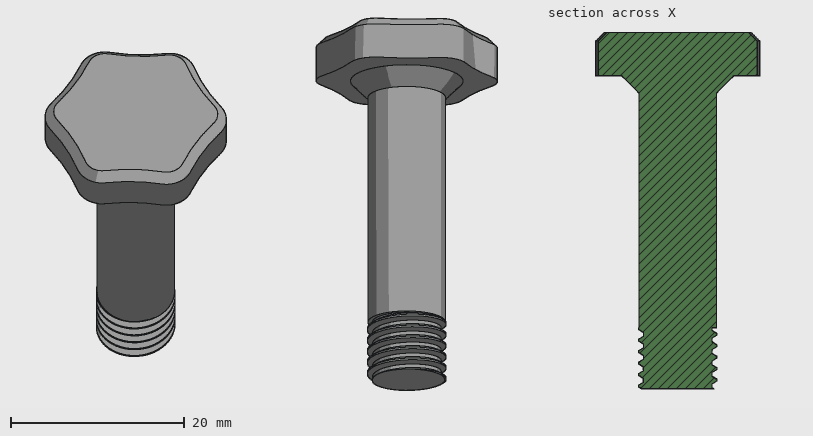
import cadquery as cq
import math

lobe_count = 6
lobe_radius = 3.0
lobe_pitch_radius = 7.44
flank_radius = 20.0
knob_height = 5.0
knob_chamfer = 1.0

shank_radius = 4.475
shank_length = 27.0
collar_height = 2.0
collar_radius = shank_radius + collar_height

thread_length = 7.0
thread_pitch = 1.32
root_radius = 3.97
crest_radius = 4.54
ridge_base_width = 0.9
crest_width = 0.2
ridge_overlap = 0.1
helix_start_angle = 180.0

collar_bottom = thread_length + shank_length
knob_bottom = collar_bottom + collar_height


def polar(radius, angle):
    """Convert a radius and an angle in radians to X and Y."""
    return (radius * math.cos(angle), radius * math.sin(angle))


def knob():
    """Build the lobed plate with its chamfered upper rim."""
    half_step = math.pi / lobe_count
    lean = math.asin(lobe_pitch_radius * math.sin(half_step) / (flank_radius + lobe_radius))
    flank_centre_radius = (
        lobe_pitch_radius * math.cos(half_step)
        + (flank_radius + lobe_radius) * math.cos(lean)
    )
    flank_mid_radius = flank_centre_radius - flank_radius
    lobe_tip_radius = lobe_pitch_radius + lobe_radius

    def lobe_end(lobe_angle, side):
        """Tangent point of a lobe with its neighbouring flank; side is -1 or 1."""
        centre_x, centre_y = polar(lobe_pitch_radius, lobe_angle)
        offset_x, offset_y = polar(lobe_radius, lobe_angle + side * (half_step + lean))
        return (centre_x + offset_x, centre_y + offset_y)

    outline = cq.Workplane("XY").workplane(offset=knob_bottom).moveTo(*lobe_end(0, -1))
    for index in range(lobe_count):
        angle = 2 * half_step * index
        next_angle = angle + 2 * half_step
        outline = outline.threePointArc(polar(lobe_tip_radius, angle), lobe_end(angle, 1))
        outline = outline.threePointArc(
            polar(flank_mid_radius, angle + half_step), lobe_end(next_angle, -1)
        )
    return outline.close().extrude(knob_height).faces(">Z").chamfer(knob_chamfer)


def shank():
    """Revolve the threaded core, plain shank and conical collar in one profile."""
    return (
        cq.Workplane("XZ")
        .polyline([
            (0, 0),
            (root_radius, 0),
            (root_radius, thread_length),
            (shank_radius, thread_length),
            (shank_radius, collar_bottom),
            (collar_radius, knob_bottom),
            (0, knob_bottom),
        ])
        .close()
        .revolve(360, (0, 0, 0), (0, 1, 0))
    )


def thread_ridge():
    """Sweep the tapered ridge past both ends and trim it to the thread length."""
    helix_height = thread_length + 2 * thread_pitch
    helix = cq.Wire.makeHelix(thread_pitch, helix_height, root_radius)
    flank_slope = (ridge_base_width - crest_width) / 2 / (crest_radius - root_radius)
    inner_half_width = ridge_base_width / 2 + flank_slope * ridge_overlap
    inner_radius = root_radius - ridge_overlap
    ridge = (
        cq.Workplane("XZ")
        .polyline([
            (inner_radius, -inner_half_width),
            (crest_radius, -crest_width / 2),
            (crest_radius, crest_width / 2),
            (inner_radius, inner_half_width),
        ])
        .close()
        .sweep(cq.Workplane(helix), isFrenet=True)
        .rotate((0, 0, 0), (0, 0, 1), helix_start_angle)
        .translate((0, 0, -thread_pitch))
    )
    trim = cq.Workplane("XY").circle(2 * crest_radius).extrude(thread_length)
    return ridge.intersect(trim)


result = shank().union(knob()).union(thread_ridge())